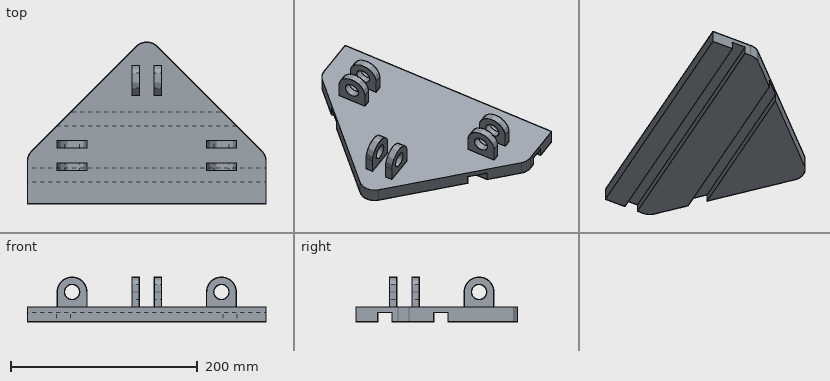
import cadquery as cq

plate_width = 256.0
plate_thickness = 16.0
shoulder_y = 52.0
apex_y = shoulder_y + plate_width / 2
corner_radius = 16.0

lug_width = 32.0
lug_thickness = 8.0
lug_gap = 16.0
bore_diameter = 16.0
bore_height = 16.0
side_clevis_x = 80.0
side_clevis_y = shoulder_y
apex_clevis_y = side_clevis_y + side_clevis_x

groove_width = 15.0
groove_depth = 10.0
first_groove_y = 31.0
groove_spacing = 60.0


def make_plate():
    half_width = plate_width / 2
    outline = [
        (-half_width, 0),
        (half_width, 0),
        (half_width, shoulder_y),
        (0, apex_y),
        (-half_width, shoulder_y),
    ]
    plate = cq.Workplane("XY").polyline(outline).close().extrude(plate_thickness)
    return plate.edges("|Z").edges("not <Y").fillet(corner_radius)


def make_lug():
    """Round-topped lug in the XZ plane, centred on X and Y, standing on Z = 0."""
    half_width = lug_width / 2
    return (
        cq.Workplane("XZ")
        .moveTo(-half_width, 0)
        .lineTo(half_width, 0)
        .lineTo(half_width, bore_height)
        .threePointArc((0, bore_height + half_width), (-half_width, bore_height))
        .close()
        .moveTo(0, bore_height)
        .circle(bore_diameter / 2)
        .extrude(lug_thickness / 2, both=True)
    )


def make_clevis():
    """Two facing lugs with the bore axis along Y."""
    offset = (lug_gap + lug_thickness) / 2
    front_lug = make_lug().translate((0, -offset, 0))
    rear_lug = make_lug().translate((0, offset, 0))
    return front_lug.add(rear_lug).combine()


def make_groove(center_y):
    return (
        cq.Workplane("XY")
        .center(0, center_y)
        .rect(plate_width, groove_width)
        .extrude(groove_depth)
    )


result = make_plate()

for groove_y in (first_groove_y, first_groove_y + groove_spacing):
    result = result.cut(make_groove(groove_y))

for clevis_x in (-side_clevis_x, side_clevis_x):
    result = result.union(make_clevis().translate((clevis_x, side_clevis_y, plate_thickness)))

apex_clevis = make_clevis().rotate((0, 0, 0), (0, 0, 1), 90)
result = result.union(apex_clevis.translate((0, apex_clevis_y, plate_thickness)))